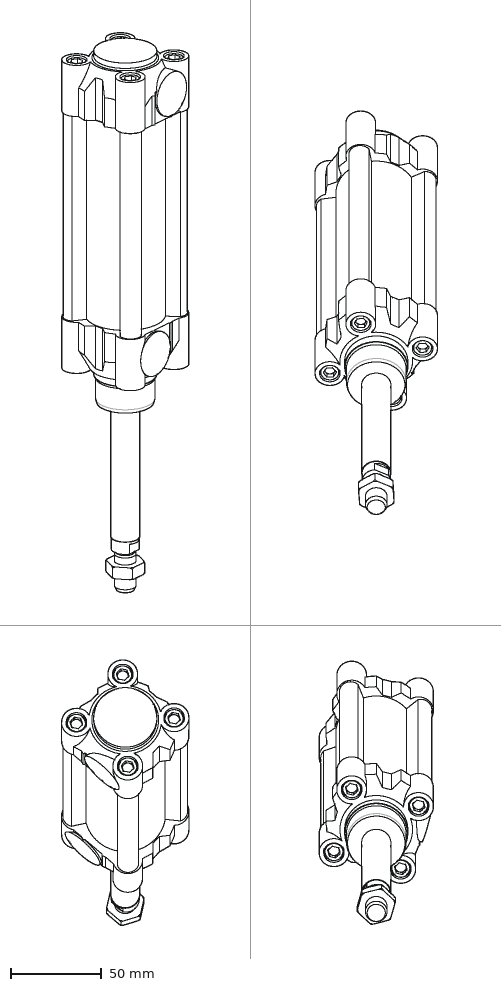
import cadquery as cq
import math


overall_length = 323.0
rear_cap_face = 318.8
cap_length = 30.7
front_cap_face = 134.0
guide_shoulder = 129.0
guide_end = 112.5
rod_shoulder = 31.5
wrench_section_end = 24.2
thread_start = 22.3
nut_bottom = 10.0
nut_thickness = 7.0

cap_width = 54.5
screw_spacing = 38.0
lobe_radius = (cap_width - screw_spacing) / 2
notch_floor = 23.0
rib_crest = 26.8
rib_foot = 24.5
notch_floor_half = 2.5
rib_crest_offset = 7.0
rib_foot_offset = 13.5
flat_side_distance = 26.2
slope_start_radius = 40.0 / 2
slope_angle = 30.0
port_boss_diameter = 26.0
port_boss_offset = 7.0
port_boss_depth = 16.8

recess_diameter = 11.3
recess_depth = 3.0
screw_head_diameter = 10.0
screw_head_drop = 1.0
socket_across_flats = 6.0
socket_depth = 3.0
socket_tip_depth = 1.5

boss_diameter = 35.0
boss_foot = 1.0
guide_diameter = 33.0
guide_step_chamfer = 0.5
guide_step_height = 1.5
guide_end_chamfer = 0.5
guide_end_chamfer_height = 2.3

barrel_lobe_offset = 20.0
barrel_lobe_radius = 6.0
barrel_lobe_edge = 17.0
barrel_tube_radius = 22.3
barrel_tube_edge = 12.3

rod_diameter = 16.0
wrench_section_diameter = 15.5
wrench_flat_width = 13.0
wrench_flat_length = 5.8
neck_diameter = 10.0
thread_diameter = 12.0
thread_chamfer = 1.0
tip_chamfer_height = 2.3
nut_across_flats = 19.0
nut_chamfer = 0.5


def hexagon_corner_circle(across_flats):
    """Diameter of the circle through the corners of a hexagon."""
    return across_flats / math.cos(math.radians(30))


def turned(profile):
    """Solid of revolution about Z from (radius, height) points."""
    return cq.Workplane("XZ").polyline(profile).close().revolve(360, (0, 0), (0, 1))


def quarter_turns(outline):
    """Repeat the points of one side, listed counterclockwise on -Y, on all four sides."""
    points = []
    for cosine, sine in [(1, 0), (0, 1), (-1, 0), (0, -1)]:
        points += [(x * cosine - y * sine, x * sine + y * cosine) for x, y in outline]
    return points


def cap_core():
    """Square block ribbed on three sides and flat on +X, tapered by a cone toward Z = 0."""
    half_side = [
        (notch_floor_half, -notch_floor),
        (rib_crest_offset, -rib_crest),
        (rib_foot_offset, -rib_foot),
    ]
    mirrored_half = [(-x, y) for x, y in reversed(half_side)]
    outline = quarter_turns(mirrored_half + half_side)
    block = cq.Workplane("XY").polyline(outline).close().extrude(-cap_length)
    flat_side = (
        cq.Workplane("XY")
        .center(flat_side_distance / 2, 0)
        .rect(flat_side_distance, screw_spacing)
        .extrude(-cap_length)
    )
    cone_radius = slope_start_radius + cap_length * math.tan(math.radians(slope_angle))
    cone = turned([(0, 0), (slope_start_radius, 0), (cone_radius, -cap_length), (0, -cap_length)])
    return block.union(flat_side).intersect(cone)


def screw_recess():
    """Ring-shaped gap and hexagon socket, cut downward from Z = 0."""
    recess = cq.Workplane("XY").circle(recess_diameter / 2).extrude(-recess_depth)
    head = (
        cq.Workplane("XY", origin=(0, 0, -recess_depth))
        .circle(screw_head_diameter / 2)
        .extrude(recess_depth - screw_head_drop)
    )
    socket = (
        cq.Workplane("XY", origin=(0, 0, -screw_head_drop))
        .polygon(6, hexagon_corner_circle(socket_across_flats))
        .extrude(-socket_depth)
    )
    socket_floor = -screw_head_drop - socket_depth
    socket_tip = turned([
        (0, socket_floor),
        (socket_across_flats / 2, socket_floor),
        (0, socket_floor - socket_tip_depth),
    ])
    return recess.cut(head).union(socket).union(socket_tip)


def end_cap():
    """Plain end cap with its outer face at Z = 0 and its port boss on +X."""
    port_boss = (
        cq.Workplane("YZ", origin=(screw_spacing / 2, 0, 0))
        .center(port_boss_offset, -port_boss_depth)
        .circle(port_boss_diameter / 2)
        .extrude(cap_width / 2 - screw_spacing / 2)
    )
    screw_places = cq.Workplane("XY").rect(screw_spacing, screw_spacing, forConstruction=True).vertices()
    lobes = screw_places.circle(lobe_radius).extrude(-cap_length)
    recess = screw_recess().val()
    recesses = screw_places.eachpoint(lambda place: recess.moved(place))
    return cap_core().union(port_boss).union(lobes).cut(recesses)


def make_rear_cap():
    radius = boss_diameter / 2
    boss = turned([
        (0, rear_cap_face),
        (radius + boss_foot, rear_cap_face),
        (radius, rear_cap_face + boss_foot),
        (radius, overall_length),
        (0, overall_length),
    ])
    return end_cap().translate((0, 0, rear_cap_face)).union(boss)


def make_front_cap():
    cap = end_cap().rotate((0, 0, 0), (1, 0, 0), 180).translate((0, 0, front_cap_face))
    radius = guide_diameter / 2
    guide = turned([
        (0, front_cap_face),
        (boss_diameter / 2, front_cap_face),
        (boss_diameter / 2, guide_shoulder),
        (radius + guide_step_chamfer, guide_shoulder),
        (radius, guide_shoulder - guide_step_height),
        (radius, guide_end + guide_end_chamfer_height),
        (radius - guide_end_chamfer, guide_end),
        (0, guide_end),
    ])
    rod_bore = (
        cq.Workplane("XY", origin=(0, 0, guide_end))
        .circle(rod_diameter / 2)
        .extrude(front_cap_face + cap_length - guide_end)
    )
    return cap.union(guide).cut(rod_bore)


def make_barrel():
    """Round tube with four corner lobes cut by sloped walls."""
    bottom = front_cap_face + cap_length
    length = rear_cap_face - cap_length - bottom
    lobe_half_chord = barrel_lobe_offset - barrel_lobe_edge
    lobe_edge_height = barrel_lobe_offset + math.sqrt(barrel_lobe_radius**2 - lobe_half_chord**2)
    tube_edge_height = math.sqrt(barrel_tube_radius**2 - barrel_tube_edge**2)
    lobe_peak = barrel_lobe_offset + barrel_lobe_radius / math.sqrt(2)
    quarter = [
        (-barrel_tube_edge, -tube_edge_height),
        (0, -barrel_tube_radius),
        (barrel_tube_edge, -tube_edge_height),
        (barrel_lobe_edge, -lobe_edge_height),
        (lobe_peak, -lobe_peak),
        (lobe_edge_height, -barrel_lobe_edge),
    ]
    points = quarter_turns(quarter)
    outline = cq.Workplane("XY", origin=(0, 0, bottom)).moveTo(*points[0])
    for start in range(0, len(points), len(quarter)):
        end = start + len(quarter)
        tube_top, tube_edge, lobe_edge, lobe_top, lobe_end = points[start + 1:end]
        next_side = points[end % len(points)]
        outline = outline.threePointArc(tube_top, tube_edge).lineTo(*lobe_edge)
        outline = outline.threePointArc(lobe_top, lobe_end).lineTo(*next_side)
    return outline.close().extrude(length)


def make_rod():
    rod_top = front_cap_face + cap_length
    rod_radius = rod_diameter / 2
    wrench_radius = wrench_section_diameter / 2
    neck_radius = neck_diameter / 2
    thread_radius = thread_diameter / 2
    rod = turned([
        (0, 0),
        (neck_radius, 0),
        (thread_radius, tip_chamfer_height),
        (thread_radius, thread_start - thread_chamfer),
        (neck_radius, thread_start),
        (neck_radius, wrench_section_end),
        (wrench_radius, wrench_section_end),
        (wrench_radius, rod_shoulder),
        (rod_radius, rod_shoulder),
        (rod_radius, rod_top),
        (0, rod_top),
    ])
    wrench_flats = (
        cq.Workplane("XY", origin=(0, 0, wrench_section_end))
        .rect(rod_diameter, rod_diameter)
        .rect(wrench_flat_width, rod_diameter)
        .extrude(wrench_flat_length)
    )
    return rod.cut(wrench_flats)


def make_nut():
    corner_circle = hexagon_corner_circle(nut_across_flats)
    prism = (
        cq.Workplane("XY", origin=(0, 0, nut_bottom))
        .transformed(rotate=(0, 0, 90))
        .polygon(6, corner_circle)
        .extrude(nut_thickness)
    )
    rounding = (
        cq.Workplane("XY", origin=(0, 0, nut_bottom))
        .circle(corner_circle / 2)
        .extrude(nut_thickness)
        .faces("<Z or >Z")
        .chamfer(nut_chamfer)
    )
    thread = cq.Workplane("XY").circle(thread_diameter / 2).extrude(nut_bottom + nut_thickness)
    return prism.intersect(rounding).cut(thread)


rear_cap = make_rear_cap()
front_cap = make_front_cap()
barrel = make_barrel()
rod = make_rod()
nut = make_nut()

result = cq.Compound.makeCompound([
    rear_cap.val(),
    front_cap.val(),
    barrel.val(),
    rod.val(),
    nut.val(),
])